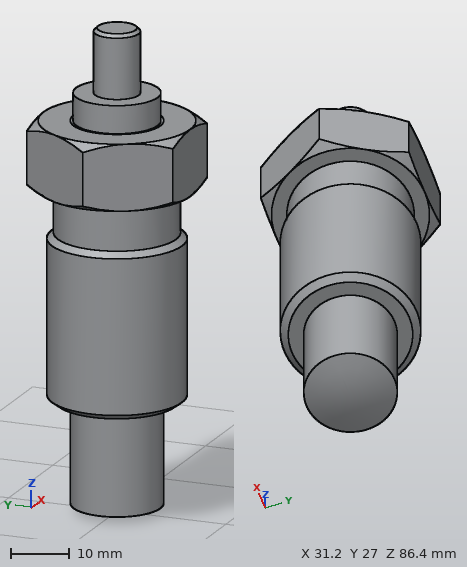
import cadquery as cq
import math

total_length = 86.4
sleeve_bottom = 19.8
housing_length = 50.0
hex_height = 12.0
neck_length = 7.95
collar_projection = 5.0
housing_top = sleeve_bottom + housing_length
hex_bottom = housing_top - hex_height
shoulder = hex_bottom - neck_length
collar_top = housing_top + collar_projection

hex_across_flats = 27.0
hex_across_corners = hex_across_flats / math.cos(math.radians(30))
hex_chamfer_angle = 30.0
sleeve_diameter = 24.0
bore_diameter = 16.0
sleeve_chamfer_width = 1.4
sleeve_chamfer_height = 1.0
neck_diameter = 21.8

shank_diameter = bore_diameter
collar_diameter = 15.0
pin_diameter = 8.0
pin_chamfer = 0.6
tip_sphere_radius = 24.0
tip_height = tip_sphere_radius - math.sqrt(tip_sphere_radius**2 - (shank_diameter / 2) ** 2)

def make_hex_head():
    """Hexagon with corners on X, its corners turned to a cone at both ends."""
    prism = (
        cq.Workplane("XY", origin=(0, 0, hex_bottom))
        .polygon(6, hex_across_corners)
        .extrude(hex_height)
    )
    flat_radius = hex_across_flats / 2
    corner_radius = hex_across_corners / 2
    corner_drop = (corner_radius - flat_radius) * math.tan(math.radians(hex_chamfer_angle))
    turned_envelope = (
        cq.Workplane("XZ")
        .moveTo(0, hex_bottom)
        .lineTo(flat_radius, hex_bottom)
        .lineTo(corner_radius, hex_bottom + corner_drop)
        .lineTo(corner_radius, housing_top - corner_drop)
        .lineTo(flat_radius, housing_top)
        .lineTo(0, housing_top)
        .close()
        .revolve(360, (0, 0, 0), (0, 1, 0))
    )
    return prism.intersect(turned_envelope)

def make_housing():
    """Chamfered sleeve, neck and hexagon head with a through bore."""
    sleeve_radius = sleeve_diameter / 2
    neck_radius = neck_diameter / 2
    barrel = (
        cq.Workplane("XZ")
        .moveTo(0, sleeve_bottom)
        .lineTo(sleeve_radius - sleeve_chamfer_width, sleeve_bottom)
        .lineTo(sleeve_radius, sleeve_bottom + sleeve_chamfer_height)
        .lineTo(sleeve_radius, shoulder - sleeve_chamfer_height)
        .lineTo(neck_radius, shoulder)
        .lineTo(neck_radius, hex_bottom)
        .lineTo(0, hex_bottom)
        .close()
        .revolve(360, (0, 0, 0), (0, 1, 0))
    )
    bore = (
        cq.Workplane("XY", origin=(0, 0, sleeve_bottom))
        .circle(bore_diameter / 2)
        .extrude(housing_length)
    )
    return barrel.union(make_hex_head()).cut(bore)

def make_plunger():
    """Turned plunger: spherical tip, shank, collar and chamfered pin."""
    shank_radius = shank_diameter / 2
    collar_radius = collar_diameter / 2
    pin_radius = pin_diameter / 2
    arc_half_angle = math.asin(shank_radius / tip_sphere_radius) / 2
    arc_middle = (
        tip_sphere_radius * math.sin(arc_half_angle),
        tip_sphere_radius * (1 - math.cos(arc_half_angle)),
    )
    return (
        cq.Workplane("XZ")
        .threePointArc(arc_middle, (shank_radius, tip_height))
        .lineTo(shank_radius, housing_top)
        .lineTo(collar_radius, housing_top)
        .lineTo(collar_radius, collar_top)
        .lineTo(pin_radius, collar_top)
        .lineTo(pin_radius, total_length - pin_chamfer)
        .lineTo(pin_radius - pin_chamfer, total_length)
        .lineTo(0, total_length)
        .close()
        .revolve(360, (0, 0, 0), (0, 1, 0))
    )

housing = make_housing()
plunger = make_plunger()
result = cq.Compound.makeCompound([housing.val(), plunger.val()])